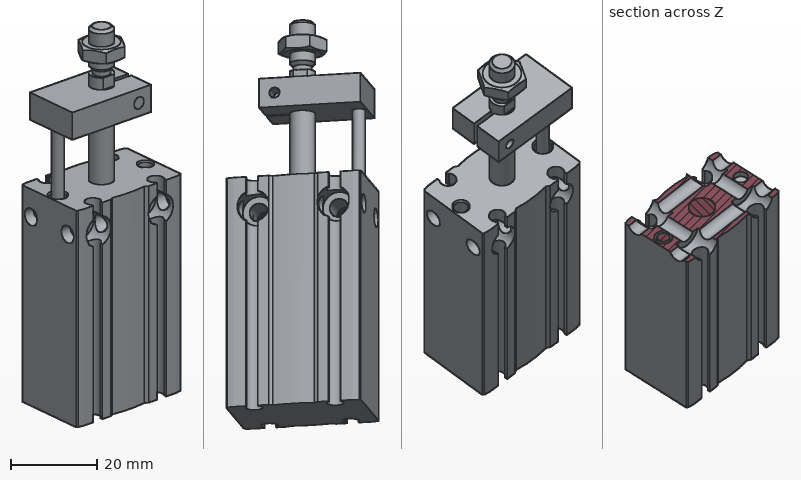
import cadquery as cq
import math

total_height = 94.0
housing_height = 55.0
plate_bottom = 72.1
plate_thickness = 7.0
plate_top = plate_bottom + plate_thickness

housing_width = 20.0
housing_depth = 32.0
half_width = housing_width / 2
half_depth = housing_depth / 2
end_face_half_width = 9.5
corner_x = 9.8
corner_y = 15.6
taper_end_y = 14.1
pad_inner_y = 5.8
bulge_edge_x = 9.5
bulge_edge_y = 4.9
bulge_x = 9.9

slot_mouth_y = 9.8
slot_mouth_width = 2.8
slot_bore_y = 9.6
slot_lip = 0.75
slot_diameter = 3.95
slot_floor_x = 6.1

mount_z = 47.9
end_hole_x = 6.5
end_hole_diameter = 4.3
side_hole_y = 9.5
side_hole_diameter = 4.3
side_counterbore_diameter = 7.5
side_counterbore_depth = 6.1

port_y = 13.4
port_diameter = 3.4
port_depth = 9.4
countersink_depth = 0.4

guide_y = -13.35
guide_diameter = 3.0
guide_hole_diameter = 4.1
guide_hole_depth = 18.8
guide_depth_in_plate = 3.8

rod_diameter = 6.0
rod_depth_in_housing = 18.8
rod_flats = 5.0
neck_diameter = 4.3
neck_bottom = 82.1
neck_top = 83.3
tip_chamfer = 0.75

plate_width = 15.0
plate_back_y = 8.65
plate_front_y = -15.4
clamp_slot_width = 1.0

screw_y = 5.0
screw_z = 75.5
screw_diameter = 3.0
screw_end_x = -2.8
screw_hole_diameter = 2.4

nut_flats = 10.0
nut_bottom = 86.4
nut_thickness = 3.6
nut_face_diameter = 8.9
nut_corner_drop = 0.5


def cylinder(diameter, z_bottom, z_top, x=0.0, y=0.0):
    """Upright cylinder between two heights."""
    return cq.Workplane("XY", origin=(x, y, z_bottom)).circle(diameter / 2).extrude(z_top - z_bottom)


def x_cylinder(diameter, x_start, x_end, y, z):
    """Cylinder along X between two X positions."""
    return cq.Workplane("YZ", origin=(x_start, y, z)).circle(diameter / 2).extrude(x_end - x_start)


def housing_blank():
    """Extruded body with tapered corners and a bulged middle on both side faces."""
    right_half = (
        cq.Workplane("XY")
        .moveTo(0, -half_depth)
        .lineTo(end_face_half_width, -half_depth)
        .lineTo(corner_x, -corner_y)
        .lineTo(half_width, -taper_end_y)
        .lineTo(half_width, -pad_inner_y)
        .lineTo(bulge_edge_x, -bulge_edge_y)
        .threePointArc((bulge_x, 0), (bulge_edge_x, bulge_edge_y))
        .lineTo(half_width, pad_inner_y)
        .lineTo(half_width, taper_end_y)
        .lineTo(corner_x, corner_y)
        .lineTo(end_face_half_width, half_depth)
        .lineTo(0, half_depth)
        .close()
        .extrude(housing_height)
    )
    return right_half.union(right_half.mirror("YZ")).clean()


def sensor_slot(side, y_sign):
    """Round slot cut off flat behind a narrower mouth, in the side face and half given by the signs."""
    bore_distance = slot_floor_x + slot_diameter / 2
    bore = cylinder(slot_diameter, 0, housing_height, side * bore_distance, y_sign * slot_bore_y)
    behind_lip = cq.Workplane("XY").box(
        2 * (half_width - slot_lip), housing_depth, housing_height, centered=(True, True, False)
    )
    mouth_centre = (side * (half_width + bore_distance) / 2, y_sign * slot_mouth_y)
    mouth = (
        cq.Workplane("XY")
        .center(*mouth_centre)
        .rect(half_width - bore_distance, slot_mouth_width)
        .extrude(housing_height)
    )
    return bore.intersect(behind_lip).union(mouth)


def countersunk_hole(diameter, depth, y):
    """Blind hole in the housing top with a 45 degree countersink, as a solid to cut away."""
    radius = diameter / 2
    return (
        cq.Workplane("XZ", origin=(0, y, housing_height))
        .lineTo(radius + countersink_depth, 0)
        .lineTo(radius, -countersink_depth)
        .lineTo(radius, -depth)
        .lineTo(0, -depth)
        .close()
        .revolve(360, (0, 0, 0), (0, 1, 0))
    )


def make_housing():
    body = housing_blank()
    for side in (-1, 1):
        for y_sign in (-1, 1):
            body = body.cut(sensor_slot(side, y_sign))

    end_holes = (
        cq.Workplane("XZ", origin=(0, half_depth, mount_z))
        .pushPoints([(-end_hole_x, 0), (end_hole_x, 0)])
        .circle(end_hole_diameter / 2)
        .extrude(housing_depth)
    )
    body = body.cut(end_holes)

    floor_x = half_width - side_counterbore_depth
    for y in (-side_hole_y, side_hole_y):
        body = body.cut(x_cylinder(side_hole_diameter, -half_width, half_width, y, mount_z))
        for side in (-1, 1):
            counterbore = x_cylinder(
                side_counterbore_diameter, side * floor_x, side * half_width, y, mount_z
            )
            body = body.cut(counterbore)

    body = body.cut(cylinder(rod_diameter, housing_height - rod_depth_in_housing, housing_height))
    body = body.cut(countersunk_hole(port_diameter, port_depth, port_y))
    return body.cut(countersunk_hole(guide_hole_diameter, guide_hole_depth, guide_y))


def make_rod():
    """Turned rod with a threaded tip, a relief neck and two flats below the neck."""
    radius = rod_diameter / 2
    neck_radius = neck_diameter / 2
    rod = (
        cq.Workplane("XZ")
        .moveTo(0, housing_height - rod_depth_in_housing)
        .lineTo(radius, housing_height - rod_depth_in_housing)
        .lineTo(radius, neck_bottom)
        .lineTo(neck_radius, neck_bottom)
        .lineTo(neck_radius, neck_top)
        .lineTo(radius, neck_top + radius - neck_radius)
        .lineTo(radius, total_height - tip_chamfer)
        .lineTo(radius - tip_chamfer, total_height)
        .lineTo(0, total_height)
        .close()
        .revolve(360, (0, 0, 0), (0, 1, 0))
    )
    flat_zone = cylinder(rod_diameter, plate_top, neck_bottom)
    between_flats = cq.Workplane("XY", origin=(0, 0, plate_top)).box(
        rod_flats, rod_diameter, neck_bottom - plate_top, centered=(True, True, False)
    )
    return rod.cut(flat_zone.cut(between_flats))


def make_screw():
    """Plain screw shank from inside the plate to its right side face."""
    return x_cylinder(screw_diameter, screw_end_x, plate_width / 2, screw_y, screw_z)


def make_plate(screw):
    """Plate with the rod bore, the clamp slot, the screw hole and a blind hole for the guide pin."""
    plate = cq.Workplane("XY", origin=(0, plate_front_y, plate_bottom)).box(
        plate_width, plate_back_y - plate_front_y, plate_thickness, centered=(True, False, False)
    )
    slot = cq.Workplane("XY", origin=(0, 0, plate_bottom)).box(
        clamp_slot_width, plate_back_y, plate_thickness, centered=(True, False, False)
    )
    plate = plate.cut(cylinder(rod_diameter, plate_bottom, plate_top)).cut(slot)
    plate = plate.cut(x_cylinder(screw_hole_diameter, -plate_width / 2, screw_end_x, screw_y, screw_z))
    plate = plate.cut(screw)
    return plate.cut(
        cylinder(guide_diameter, plate_bottom, plate_bottom + guide_depth_in_plate, 0, guide_y)
    )


def make_guide_pin():
    """Pin from the floor of its housing hole up into the plate."""
    return cylinder(
        guide_diameter,
        housing_height - guide_hole_depth,
        plate_bottom + guide_depth_in_plate,
        0,
        guide_y,
    )


def make_nut():
    """Hexagon nut with its points along Y and both faces coned at the corners."""
    corner_radius = nut_flats / math.sqrt(3)
    face_radius = nut_face_diameter / 2
    nut_top = nut_bottom + nut_thickness
    hexagon = (
        cq.Workplane("XY", origin=(0, 0, nut_bottom))
        .transformed(rotate=(0, 0, 90))
        .polygon(6, 2 * corner_radius)
        .extrude(nut_thickness)
    )
    cone_envelope = (
        cq.Workplane("XZ")
        .moveTo(0, nut_bottom)
        .lineTo(face_radius, nut_bottom)
        .lineTo(corner_radius, nut_bottom + nut_corner_drop)
        .lineTo(corner_radius, nut_top - nut_corner_drop)
        .lineTo(face_radius, nut_top)
        .lineTo(0, nut_top)
        .close()
        .revolve(360, (0, 0, 0), (0, 1, 0))
    )
    return hexagon.intersect(cone_envelope).cut(cylinder(rod_diameter, nut_bottom, nut_top))


housing = make_housing()
rod = make_rod()
screw = make_screw()
plate = make_plate(screw)
guide_pin = make_guide_pin()
nut = make_nut()

result = cq.Compound.makeCompound(
    [housing.val(), rod.val(), screw.val(), plate.val(), guide_pin.val(), nut.val()]
)